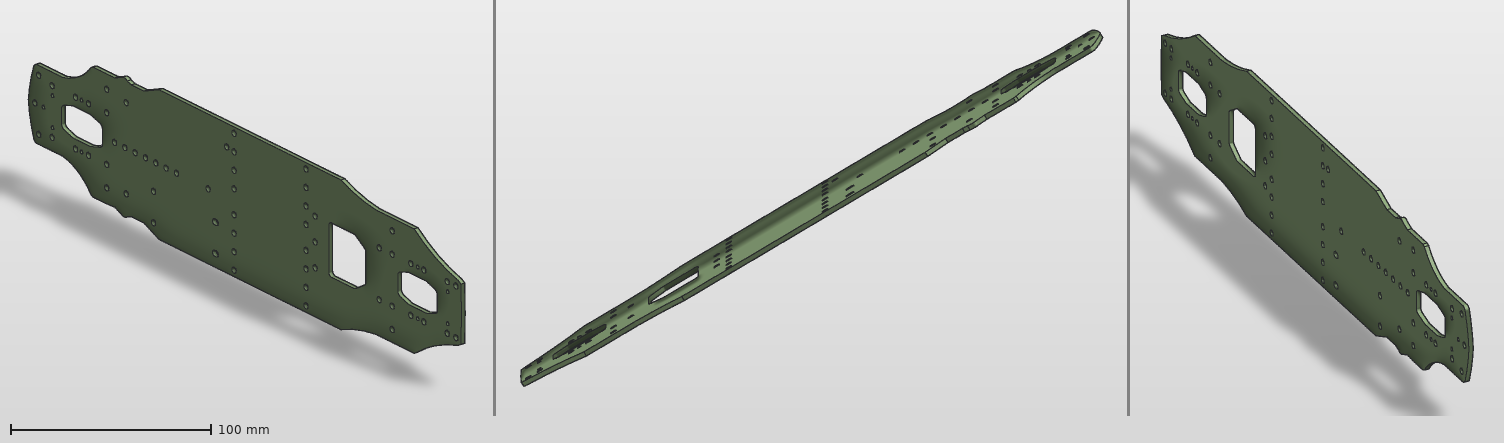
import cadquery as cq

length = 338.0
width = 82.0
thickness = 2.5
nose_x = -length / 2
tail_x = length / 2
half_width = width / 2

nose_half = 21.5
shoulder_half = 35.5
lower_shoulder_half = 36.0
shoulder_corner = 0.7
waist_half = 36.2
rear_half = 34.0
tail_half = 16.5
tail_corner = 1.5
tail_bow = 0.5

screw_diameter = 3.2
pin_diameter = 2.0
slot_length = 4.5
slot_x = -23.0

column_xs = (-8.5, 47.7)
column_start_z = 7.0
column_count = 4
centre_row_start_x = -101.8
centre_row_span = 48.5
centre_row_count = 7
centre_pitch = centre_row_span / (centre_row_count - 1)
inner_row_z = 14.2
bracket_near_z = -16.2
bracket_far_z = -33.5
outer_row_z = 27.0
pair_pitch = 10.0

end_window_half = 8.8
end_window_side_half = 6.0
end_window_radius = 2.7
motor_window_half = 15.0
motor_window_radius = 2.0


def mirrored(points):
    """Points together with their reflections across the centre line."""
    return points + [(x, -z) for x, z in points]


def half_plate(shoulder_front_half):
    """One side of the plate, from the centre line (Z = 0) out to the +Z edge."""
    return (
        cq.Workplane("XZ")
        .moveTo(nose_x, 0)
        .threePointArc((-167.5, 10.8), (-165.0, 19.3))
        .threePointArc((-164.0, 21.0), (-162.0, nose_half))
        .lineTo(-142.0, nose_half)
        .threePointArc((-129.5, 26.5), (-120.0, shoulder_front_half - shoulder_corner))
        .lineTo(-118.5, shoulder_front_half)
        .lineTo(-109.0, shoulder_front_half)
        .lineTo(-101.5, shoulder_half)
        .lineTo(-96.5, 37.5)
        .threePointArc((-94.0, 38.2), (-91.5, 37.2))
        .lineTo(-88.5, waist_half)
        .lineTo(-78.8, waist_half)
        .lineTo(-67.0, half_width)
        .lineTo(75.0, half_width)
        .threePointArc((88.5, 36.5), (102.5, rear_half))
        .lineTo(132.2, rear_half)
        .threePointArc((148.5, 24.5), (166.5, tail_half + tail_corner))
        .lineTo(tail_x - tail_bow, tail_half)
        .lineTo(tail_x, 0)
        .close()
        .extrude(thickness / 2, both=True)
    )


def plate():
    """Flat chassis plate; the front shoulder stands out slightly more on the -Z side."""
    lower_half = half_plate(lower_shoulder_half).mirror("XY")
    return half_plate(shoulder_half).union(lower_half)


def cutter(outline):
    """Solid that passes right through the plate."""
    return outline.extrude(thickness, both=True)


def end_window(x_min, x_max, flat_start, flat_end):
    """Elongated eight-sided window with rounded side corners."""
    points = [
        (x_min, end_window_side_half),
        (flat_start, end_window_half),
        (flat_end, end_window_half),
        (x_max, end_window_side_half),
        (x_max, -end_window_side_half),
        (flat_end, -end_window_half),
        (flat_start, -end_window_half),
        (x_min, -end_window_side_half),
    ]
    outline = cq.Workplane("XZ").polyline(points).close()
    return cutter(outline).edges("|Y").fillet(end_window_radius)


def motor_window():
    """Square window with two clipped rear corners."""
    x_min = 65.5
    x_max = 94.5
    clip_x = 86.0
    clip_z = 9.5
    points = [
        (x_min, motor_window_half),
        (clip_x, motor_window_half),
        (x_max, clip_z),
        (x_max, -clip_z),
        (clip_x, -motor_window_half),
        (x_min, -motor_window_half),
    ]
    outline = cq.Workplane("XZ").polyline(points).close()
    return cutter(outline).edges("|Y").fillet(motor_window_radius)


def screw_positions():
    """Centres of all screw holes."""
    motor_mount_x = 54.8
    nose_arm_x = -108.0
    nose_pair_x = -132.2
    rear_pair_x = 104.8
    tail_pair_x = 129.5
    nose = [
        (-161.0, 16.2),
        (-150.5, inner_row_z),
        (nose_pair_x, inner_row_z),
        (nose_pair_x + pair_pitch, inner_row_z),
        (nose_arm_x, inner_row_z),
        (nose_arm_x, outer_row_z),
        (-92.5, 25.0),
    ]
    tail = [
        (motor_mount_x, inner_row_z),
        (rear_pair_x, inner_row_z),
        (rear_pair_x + pair_pitch, inner_row_z),
        (rear_pair_x + pair_pitch, outer_row_z),
        (tail_pair_x, inner_row_z),
        (tail_pair_x + pair_pitch, inner_row_z),
        (158.0, inner_row_z),
        (164.7, inner_row_z),
    ]
    columns = [(x, column_start_z + pair_pitch * i) for x in column_xs for i in range(column_count)]
    centre_row = [(centre_row_start_x + centre_pitch * i, 0) for i in range(centre_row_count)]
    centre_line = centre_row + [(-164.0, 0), (-28.7, 0), (motor_mount_x, 0)]
    one_sided = [(-14.2, 28.0), (-71.5, bracket_near_z), (-71.5, bracket_far_z)]
    return mirrored(nose + tail + columns) + centre_line + one_sided


def pin_positions():
    """Centres of the small locating holes."""
    pairs = [(-150.0, 8.8), (-127.5, inner_row_z), (135.0, inner_row_z), (158.2, 8.8)]
    return mirrored(pairs) + [(-157.2, 0)]


screw_holes = cutter(cq.Workplane("XZ").pushPoints(screw_positions()).circle(screw_diameter / 2))
pin_holes = cutter(cq.Workplane("XZ").pushPoints(pin_positions()).circle(pin_diameter / 2))
slot_positions = [(slot_x, bracket_near_z), (slot_x, bracket_far_z)]
slots = cutter(cq.Workplane("XZ").pushPoints(slot_positions).slot2D(slot_length, screw_diameter))

result = (
    plate()
    .cut(end_window(x_min=-143.0, x_max=-111.2, flat_start=-134.2, flat_end=-120.7))
    .cut(end_window(x_min=119.5, x_max=150.0, flat_start=127.8, flat_end=141.7))
    .cut(motor_window())
    .cut(screw_holes)
    .cut(pin_holes)
    .cut(slots)
)